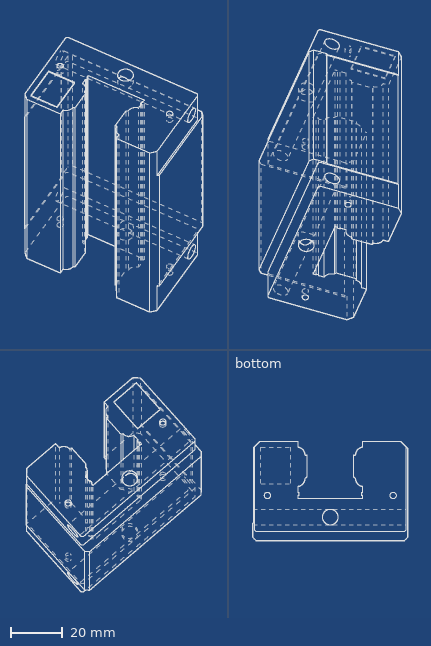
import cadquery as cq
import math


total_length = 97.2
body_length = 67.65
body_width = 60.0
body_height = 38.4
back_chamfer = 1.4
front_chamfer = 2.7
relief_depth = 0.34
relief_start = 31.4
half_width = body_width / 2
flat_edge_x = half_width - front_chamfer

cap_length = (total_length - body_length) / 2
cap_width = 58.6
cap_height = 34.8
cap_corner_radius = 1.0
cap_half_width = cap_width / 2
cap_front_chamfer = cap_half_width - flat_edge_x

slot_half_width = 12.4
throat_half_width = 8.9
slot_depth = 22.0
lobe_x = 9.7
lobe_radius = 3.2
lobe_lower_y = 5.3
lobe_upper_y = 14.3
throat_top_y = 13.8
lobe_center_x = lobe_x + lobe_radius

ridge_height = 0.4
ridge_bottom_y = 19.8
ridge_top_y = 20.9
ridge_x = slot_half_width - ridge_height

cross_port_diameter = 6.0
end_port_diameter = 6.0
port_y = 29.3
port_end_distance = 6.9
port_z = total_length / 2 - port_end_distance

fixing_diameter = 2.4
fixing_depth = 3.9
fixing_x = 24.3
fixing_y = 20.9
drill_point_angle = 118.0

panel_width = 11.6
panel_height = 14.0
panel_depth = 0.5
panel_x = -21.1
panel_y = 9.4


def prism(outline, length):
    """Extrude a closed XY outline to the given length, centred on Z = 0."""
    return outline.extrude(length / 2, both=True)


def rail_slot():
    """Solid that fills the rail slot between the two rounded raceway lobes and the two ridges."""
    bulge = lobe_radius * math.sqrt(0.5)
    lobe_rise = math.sqrt(lobe_radius**2 - (lobe_center_x - slot_half_width)**2)
    lobe_bottom_y = lobe_lower_y - lobe_rise
    lobe_top_y = lobe_upper_y + lobe_rise
    half = (
        cq.Workplane("XY")
        .moveTo(0, 0)
        .lineTo(slot_half_width, 0)
        .lineTo(slot_half_width, lobe_bottom_y)
        .threePointArc((lobe_center_x - bulge, lobe_lower_y - bulge), (lobe_x, lobe_lower_y))
        .lineTo(throat_half_width, lobe_lower_y)
        .lineTo(throat_half_width, throat_top_y)
        .lineTo(lobe_x, lobe_upper_y)
        .threePointArc((lobe_center_x - bulge, lobe_upper_y + bulge), (slot_half_width, lobe_top_y))
        .lineTo(slot_half_width, ridge_bottom_y)
        .lineTo(ridge_x, ridge_bottom_y)
        .lineTo(ridge_x, ridge_top_y)
        .lineTo(slot_half_width, ridge_top_y)
        .lineTo(slot_half_width, slot_depth)
        .lineTo(0, slot_depth)
        .close()
    )
    half_slot = prism(half, total_length)
    return half_slot.union(half_slot.mirror("YZ"))


def make_body():
    """Body with a relieved -X flank, leaving a reference edge near the back."""
    relieved_x = -half_width + relief_depth
    outline = cq.Workplane("XY").polyline([
        (-flat_edge_x, 0),
        (flat_edge_x, 0),
        (half_width, front_chamfer),
        (half_width, body_height - back_chamfer),
        (half_width - back_chamfer, body_height),
        (-half_width + back_chamfer, body_height),
        (-half_width, body_height - back_chamfer),
        (-half_width, relief_start + relief_depth),
        (relieved_x, relief_start),
        (relieved_x, front_chamfer - relief_depth),
    ]).close()
    return prism(outline, body_length)


def make_top_cap():
    """End cap on the +Z end, with its ports and fixing holes."""
    cap = (
        cq.Workplane("XY")
        .workplane(offset=body_length / 2)
        .center(0, cap_height / 2)
        .rect(cap_width, cap_height)
        .extrude(cap_length)
    )
    cap = cap.edges("|Z and >Y").fillet(cap_corner_radius)
    cap = cap.edges("|Z and <Y").chamfer(cap_front_chamfer)
    return cap.cut(cross_port()).cut(end_port()).cut(fixing_holes())


def cross_port():
    """Hole running across the whole cap along X."""
    port = cq.Workplane("YZ").center(port_y, port_z).circle(cross_port_diameter / 2)
    return port.extrude(half_width, both=True)


def end_port():
    """Hole from the end face down to the axis of the cross port."""
    port = cq.Workplane("XY").workplane(offset=port_z).center(0, port_y)
    return port.circle(end_port_diameter / 2).extrude(port_end_distance)


def fixing_holes():
    """Pair of blind drilled holes with conical bottoms."""
    radius = fixing_diameter / 2
    point_depth = radius / math.tan(math.radians(drill_point_angle / 2))
    profile = cq.Workplane("XZ").polyline([
        (0, 0),
        (radius, 0),
        (radius, -fixing_depth),
        (0, -fixing_depth - point_depth),
    ]).close()
    drill = profile.revolve(360, (0, 0), (0, 1))
    left = drill.translate((-fixing_x, fixing_y, total_length / 2))
    right = drill.translate((fixing_x, fixing_y, total_length / 2))
    return left.union(right)


def name_panel():
    """Shallow rectangular recess in the top end face."""
    panel = cq.Workplane("XY").workplane(offset=total_length / 2)
    return panel.center(panel_x, panel_y).rect(panel_width, panel_height).extrude(-panel_depth)


top_cap = make_top_cap()
bottom_cap = top_cap.mirror("XY")
block = make_body().union(top_cap).union(bottom_cap)
result = block.cut(rail_slot()).cut(name_panel())